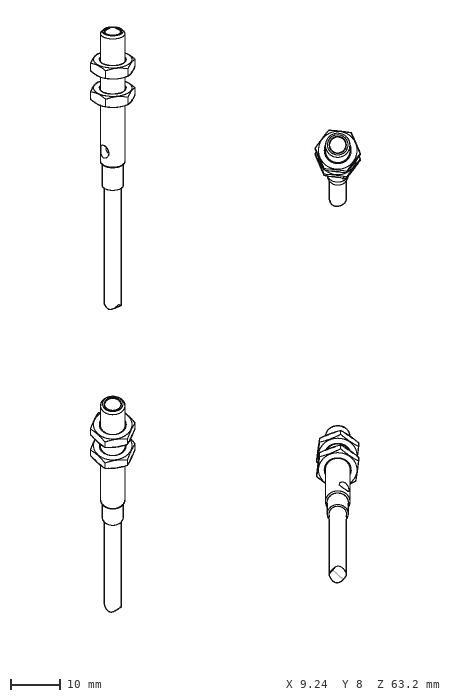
import cadquery as cq
import math

TOTAL_HEIGHT = 63.2
HOUSING_DIAMETER = 5.0
SLEEVE_DIAMETER = 4.3
CABLE_DIAMETER = 3.55
LENS_DIAMETER = 3.3
LENS_POCKET_DIAMETER = 3.5
HOUSING_TOP_DIAMETER = 4.2

HOUSING_TOP = 62.5
LENS_BASE = 62.3
HOUSING_BOTTOM = 32.6
SLEEVE_BOTTOM = 27.5

TOP_CHAMFER_WIDTH = (HOUSING_DIAMETER - HOUSING_TOP_DIAMETER) / 2
TOP_CHAMFER_HEIGHT = 0.5
BOTTOM_CHAMFER = 0.3

RECESS_LEVEL = 36.0
RECESS_RIM_DIAMETER = 2.85
RECESS_FLOOR_DIAMETER = 1.4
RECESS_DEPTH = 1.25

NUT_SIDES = 6
NUT_ACROSS_FLATS = 8.0
NUT_HEIGHT = 2.5
NUT_CHAMFER_ANGLE = 30.0
NUT_FACE_DIAMETER = 7.85
NUT_COUNTERSINK_DIAMETER = 5.5
UPPER_NUT_BOTTOM = 53.55
NUT_PITCH = 6.45
NUT_COUNT = 2

CABLE_RADIUS = CABLE_DIAMETER / 2
TEAR_TIP = (-CABLE_RADIUS, 0.0)
TEAR_CURVE = [(-1.4, 0.65), (-0.25, 0.65), (0.9, 0.2), (1.5, 0.6), (CABLE_RADIUS, 1.25)]


def cylinder(diameter, bottom, top):
    """Upright cylinder on the Z axis between two levels."""
    return cq.Workplane("XY").workplane(offset=bottom).circle(diameter / 2).extrude(top - bottom)


def make_lens_dome():
    """Spherical cap that rises from the pocket floor to the full height."""
    radius = LENS_DIAMETER / 2
    rise = TOTAL_HEIGHT - LENS_BASE
    sphere_radius = (radius**2 + rise**2) / (2 * rise)
    mid_x = radius / 2
    mid_z = TOTAL_HEIGHT - sphere_radius + math.sqrt(sphere_radius**2 - mid_x**2)
    return (
        cq.Workplane("XZ")
        .moveTo(0, LENS_BASE)
        .lineTo(radius, LENS_BASE)
        .threePointArc((mid_x, mid_z), (0, TOTAL_HEIGHT))
        .close()
        .revolve(360, (0, 0), (0, 1))
    )


def make_indicator_recess():
    """Cone that narrows inward from the -Y side of the housing."""
    rim_radius = RECESS_RIM_DIAMETER / 2
    floor_radius = RECESS_FLOOR_DIAMETER / 2
    return cq.Workplane(
        cq.Solid.makeCone(
            rim_radius,
            floor_radius,
            RECESS_DEPTH,
            pnt=cq.Vector(0, -HOUSING_DIAMETER / 2, RECESS_LEVEL),
            dir=cq.Vector(0, 1, 0),
        )
    )


def make_housing():
    """Round barrel with a lens dome in a shallow pocket, an indicator recess and a cable sleeve."""
    barrel = cylinder(HOUSING_DIAMETER, HOUSING_BOTTOM, HOUSING_TOP)
    barrel = barrel.faces(">Z").chamfer(TOP_CHAMFER_HEIGHT, TOP_CHAMFER_WIDTH)
    barrel = barrel.faces("<Z").chamfer(BOTTOM_CHAMFER)
    barrel = barrel.cut(cylinder(LENS_POCKET_DIAMETER, LENS_BASE, HOUSING_TOP))
    sleeve = cylinder(SLEEVE_DIAMETER, SLEEVE_BOTTOM, HOUSING_BOTTOM)
    return barrel.union(sleeve).union(make_lens_dome()).cut(make_indicator_recess())


def make_cable():
    """Cable below the sleeve, ending in a wavy break."""
    outline = (
        cq.Workplane("XZ")
        .moveTo(-CABLE_RADIUS, SLEEVE_BOTTOM)
        .lineTo(*TEAR_TIP)
        .lineTo(*TEAR_CURVE[0])
        .spline(TEAR_CURVE[1:], includeCurrent=True)
        .lineTo(CABLE_RADIUS, SLEEVE_BOTTOM)
        .close()
        .extrude(CABLE_RADIUS, both=True)
    )
    return cylinder(CABLE_DIAMETER, 0, SLEEVE_BOTTOM).intersect(outline)


def make_nut(bottom):
    """Hexagonal nut with chamfered corners and a bore countersunk at both ends."""
    corner_diameter = NUT_ACROSS_FLATS / math.cos(math.radians(180 / NUT_SIDES))
    corner_radius = corner_diameter / 2
    face_radius = NUT_FACE_DIAMETER / 2
    chamfer_height = (corner_radius - face_radius) * math.tan(math.radians(NUT_CHAMFER_ANGLE))
    bore_radius = HOUSING_DIAMETER / 2
    sink_radius = NUT_COUNTERSINK_DIAMETER / 2
    sink_depth = sink_radius - bore_radius
    prism = cq.Workplane("XY").polygon(NUT_SIDES, corner_diameter).extrude(NUT_HEIGHT)
    turned_ring = (
        cq.Workplane("XZ")
        .moveTo(bore_radius, sink_depth)
        .lineTo(sink_radius, 0)
        .lineTo(face_radius, 0)
        .lineTo(corner_radius, chamfer_height)
        .lineTo(corner_radius, NUT_HEIGHT - chamfer_height)
        .lineTo(face_radius, NUT_HEIGHT)
        .lineTo(sink_radius, NUT_HEIGHT)
        .lineTo(bore_radius, NUT_HEIGHT - sink_depth)
        .close()
        .revolve(360, (0, 0), (0, 1))
    )
    return prism.intersect(turned_ring).translate((0, 0, bottom))


housing = make_housing()
cable = make_cable()
nuts = [make_nut(UPPER_NUT_BOTTOM - i * NUT_PITCH) for i in range(NUT_COUNT)]

result = cq.Compound.makeCompound([housing.val(), cable.val(), *[nut.val() for nut in nuts]])